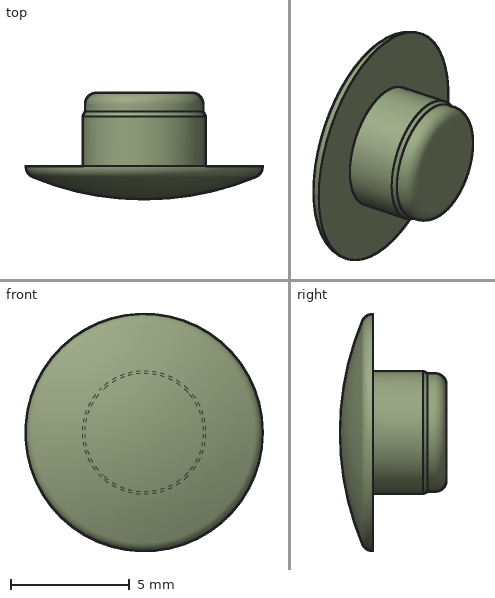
import cadquery as cq
import math

cap_radius = 5.0
dome_height = 1.4
rim_radius = 0.5

stem_radius = 2.6
stem_length = 3.1
shoulder_start = 2.1
shoulder_end = 2.3
tip_radius = 2.5
tip_fillet = 0.5

rim_center = cap_radius - rim_radius
dome_radius = (rim_center**2 + dome_height**2 - rim_radius**2) / (2 * (dome_height - rim_radius))
dome_center_y = dome_radius - dome_height
rim_angle = math.atan2(dome_center_y, rim_center)


def rim_point(angle):
    """Point on the rim arc, with the angle measured from the outer edge."""
    return (
        rim_center + rim_radius * math.cos(angle),
        -rim_radius * math.sin(angle),
    )


def dome_point(angle):
    """Point on the dome arc, with the angle measured from the XZ plane."""
    return (
        dome_radius * math.cos(angle),
        dome_center_y - dome_radius * math.sin(angle),
    )


def revolve_profile(profile):
    return profile.close().revolve(360, (0, 0), (0, 1))


def make_cap():
    profile = (
        cq.Workplane("XY")
        .lineTo(cap_radius, 0)
        .threePointArc(rim_point(rim_angle / 2), rim_point(rim_angle))
        .threePointArc(dome_point((rim_angle + math.pi / 2) / 2), (0, -dome_height))
    )
    return revolve_profile(profile)


def make_stem():
    profile = (
        cq.Workplane("XY")
        .lineTo(stem_radius, 0)
        .lineTo(stem_radius, shoulder_start)
        .lineTo(tip_radius, shoulder_end)
        .lineTo(tip_radius, stem_length)
        .lineTo(0, stem_length)
    )
    return revolve_profile(profile).faces(">Y").edges().fillet(tip_fillet)


result = make_cap().union(make_stem())